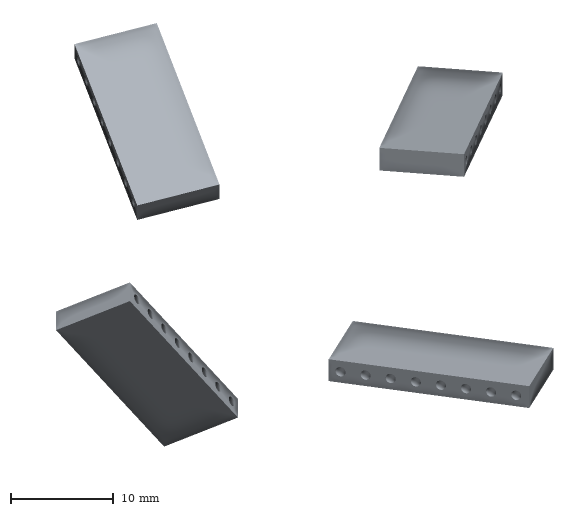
import cadquery as cq

length = 20.32
depth = 8.4
height = 2.4

hole_count = 8
hole_diameter = 1.02
first_hole_offset = 1.2
hole_row_span = 17.8
hole_pitch = hole_row_span / (hole_count - 1)


def hole_row():
    """Evenly spaced cylinders at mid-height, as long as the block is deep."""
    first_hole_x = first_hole_offset - length / 2
    centres = [(first_hole_x + i * hole_pitch, 0) for i in range(hole_count)]
    return (
        cq.Workplane("XZ")
        .pushPoints(centres)
        .circle(hole_diameter / 2)
        .extrude(depth / 2, both=True)
    )


block = cq.Workplane("XY").box(length, depth, height)
result = block.cut(hole_row())